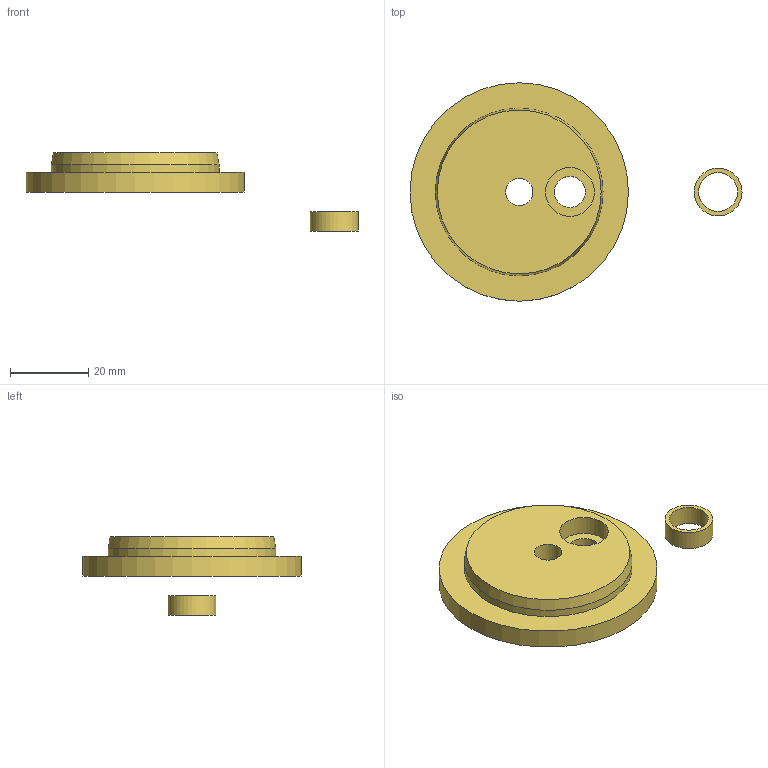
import cadquery as cq

flange_diameter = 56.0
flange_height = 5.0
spigot_diameter = 43.0
spigot_straight_height = 2.0
spigot_taper_height = 3.0
spigot_taper_inset = 0.5
cover_height = flange_height + spigot_straight_height + spigot_taper_height

center_hole_diameter = 7.0
offset_hole_diameter = 8.0
offset_hole_x = 13.0
bushing_recess_diameter = 12.5
bushing_recess_depth = 5.0

bushing_outer_diameter = 12.25
bushing_inner_diameter = 10.0
bushing_height = 5.0
bushing_x = 51.0
bushing_bottom_z = -10.0


def make_cover():
    """Revolved flange and tapered spigot with a center hole and a recessed offset hole."""
    flange_radius = flange_diameter / 2
    spigot_radius = spigot_diameter / 2
    taper_start_z = flange_height + spigot_straight_height
    body = (
        cq.Workplane("XZ")
        .moveTo(0, 0)
        .lineTo(flange_radius, 0)
        .lineTo(flange_radius, flange_height)
        .lineTo(spigot_radius, flange_height)
        .lineTo(spigot_radius, taper_start_z)
        .lineTo(spigot_radius - spigot_taper_inset, cover_height)
        .lineTo(0, cover_height)
        .close()
        .revolve(360, (0, 0), (0, 1))
    )
    top = cq.Workplane("XY").workplane(offset=cover_height)
    center_hole = top.circle(center_hole_diameter / 2).extrude(-cover_height)
    offset_top = top.center(offset_hole_x, 0)
    offset_hole = offset_top.circle(offset_hole_diameter / 2).extrude(-cover_height)
    bushing_recess = offset_top.circle(bushing_recess_diameter / 2).extrude(-bushing_recess_depth)
    return body.cut(center_hole).cut(offset_hole).cut(bushing_recess)


def make_bushing():
    """Plain ring that fits the recess around the offset hole."""
    return (
        cq.Workplane("XY", origin=(bushing_x, 0, bushing_bottom_z))
        .circle(bushing_outer_diameter / 2)
        .circle(bushing_inner_diameter / 2)
        .extrude(bushing_height)
    )


cover = make_cover()
bushing = make_bushing()

result = cq.Compound.makeCompound([cover.val(), bushing.val()])